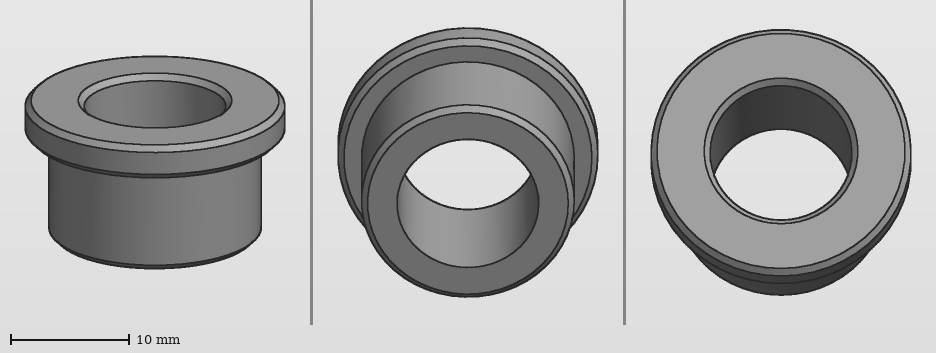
import cadquery as cq

flange_diameter = 22.0
body_diameter = 18.0
bore_diameter = 12.0
total_height = 12.0
flange_thickness = 3.0
chamfer = 0.5

body_height = total_height - flange_thickness

body = cq.Workplane("XY").circle(body_diameter / 2).extrude(body_height)
body = body.faces("<Z").chamfer(chamfer)

flange = (
    cq.Workplane("XY")
    .workplane(offset=body_height)
    .circle(flange_diameter / 2)
    .extrude(flange_thickness)
    .edges()
    .chamfer(chamfer)
)

bore = cq.Workplane("XY").circle(bore_diameter / 2).extrude(total_height)
bushing = body.union(flange).cut(bore)
bore_entry = bushing.faces(">Z").edges(cq.selectors.RadiusNthSelector(0))

result = bore_entry.chamfer(chamfer)